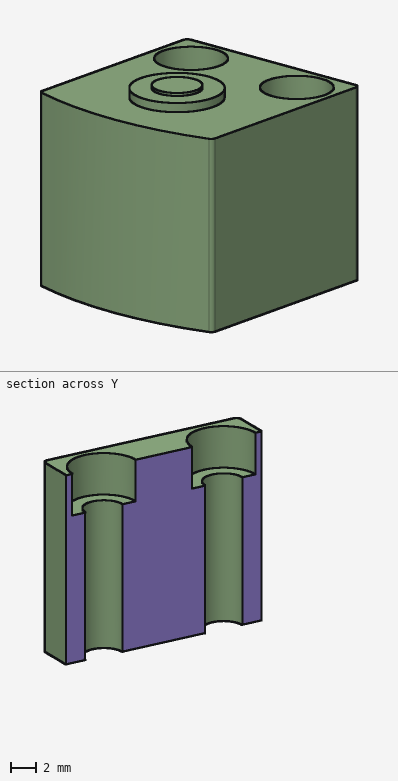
import cadquery as cq

width = 18.0
depth = 18.95
block_height = 16.0
back_y = 11.5
front_y = back_y - depth
front_bulge = 1.36
corner_radius = 0.85 / 2

hole_spacing = 11.01
hole_from_back = 3.5
hole_diameter = 3.4
counterbore_diameter = 5.8
counterbore_depth = 3.5

overall_height = 17.0
flange_diameter = 7.5
flange_height = 0.75
tip_diameter = 4.0
tip_height = overall_height - block_height - flange_height


def make_block():
    """Block with a flat back, a bowed front and rounded vertical edges."""
    half_width = width / 2
    side_front_y = front_y + front_bulge
    return (
        cq.Workplane("XY")
        .moveTo(-half_width, back_y)
        .lineTo(-half_width, side_front_y)
        .threePointArc((0, front_y), (half_width, side_front_y))
        .lineTo(half_width, back_y)
        .close()
        .extrude(block_height)
        .edges("|Z")
        .fillet(corner_radius)
    )


def make_housing():
    """Block with two counterbored holes along its back edge."""
    hole_y = back_y - hole_from_back
    hole_centers = [(side * hole_spacing / 2, hole_y) for side in (-1, 1)]
    return (
        make_block()
        .faces(">Z")
        .workplane(origin=(0, 0, block_height))
        .pushPoints(hole_centers)
        .cboreHole(hole_diameter, counterbore_diameter, counterbore_depth)
    )


def make_button():
    """Flange seated on the top of the housing, with a raised round tip."""
    return (
        cq.Workplane("XY", origin=(0, 0, block_height))
        .circle(flange_diameter / 2)
        .extrude(flange_height)
        .faces(">Z")
        .workplane()
        .circle(tip_diameter / 2)
        .extrude(tip_height)
    )


housing = make_housing()
button = make_button()

result = cq.Compound.makeCompound([housing.solids().val(), button.solids().val()])